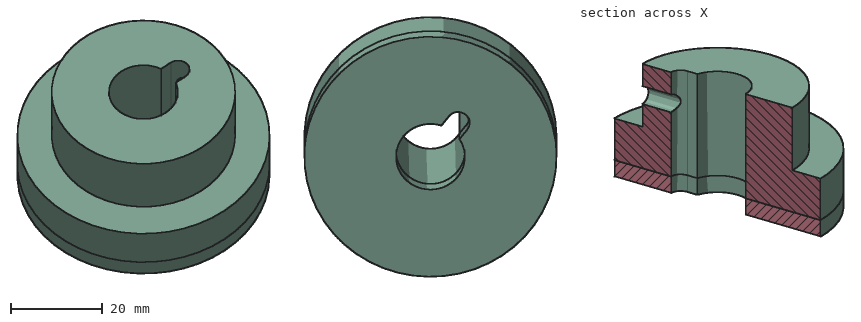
import cadquery as cq

flange_diameter = 55.0
hub_diameter = 40.0
bore_diameter = 15.0
keyway_width = 5.0
keyway_reach = 12.3
plate_thickness = 4.0
flange_thickness = 9.95
hub_height = 15.0
screw_hole_diameter = 4.2

overall_height = plate_thickness + flange_thickness + hub_height
keyway_end_centre = keyway_reach - keyway_width / 2
hub_base = plate_thickness + flange_thickness
screw_hole_height = hub_base + hub_height / 2


def disc(diameter, base, height):
    """Solid round disc on the Z axis, standing on the given level."""
    return cq.Workplane("XY").workplane(offset=base).circle(diameter / 2).extrude(height)


def keyed_bore():
    """Cutter for the shaft bore and its round-ended keyway on the +Y side."""
    bore = disc(bore_diameter, 0, overall_height)
    keyway = (
        cq.Workplane("XY")
        .center(0, keyway_end_centre / 2)
        .rect(keyway_width, keyway_end_centre)
        .extrude(overall_height)
    )
    keyway_end = disc(keyway_width, 0, overall_height).translate((0, keyway_end_centre, 0))
    return bore.union(keyway).union(keyway_end)


def screw_hole():
    """Cutter for the radial set-screw hole from the keyway out through the +Y side of the hub."""
    return (
        cq.Workplane("XZ", origin=(0, 0, screw_hole_height))
        .circle(screw_hole_diameter / 2)
        .extrude(-hub_diameter / 2)
    )


def make_plate():
    """Thin end plate under the flange, pierced by the keyed bore."""
    return disc(flange_diameter, 0, plate_thickness).cut(keyed_bore())


def make_hub():
    """Flanged hub with the keyed bore and the set-screw hole."""
    flange = disc(flange_diameter, plate_thickness, flange_thickness)
    boss = disc(hub_diameter, hub_base, hub_height)
    return flange.union(boss).cut(keyed_bore()).cut(screw_hole())


plate = make_plate()
hub = make_hub()

result = cq.Compound.makeCompound([plate.val(), hub.val()])